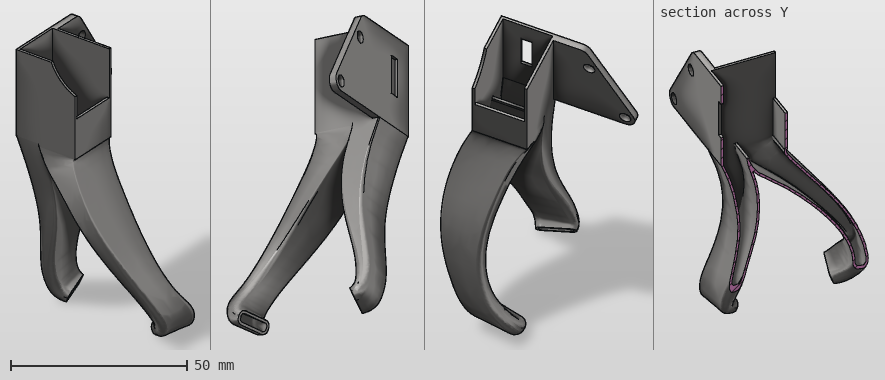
import cadquery as cq
import math


BOX_X = 21.0
BOX_Y = 17.0
BOX_Z = 28.0
WALL = 0.85
LOW_WALL_Z = 12.1
DIVIDER_X = 8.05

RELIEF_X = 8.5
RELIEF_Z = 8.4
RELIEF_MID = (16.4, 22.5)

PLATE_T = 2.2
HOLE_D = 3.5
LOWER_HOLE = (39.2, 3.05)
UPPER_HOLE = (28.1, 20.5)
PLATE_R = 3.0

SLOT_Y = 6.35
SLOT_Z = 9.8
SLOT_WIDTH = 3.45
SLOT_HEIGHT = 11.7

LEFT_ROOT_T = DIVIDER_X + WALL
RIGHT_ROOT_T = BOX_X - DIVIDER_X
LEFT_ROOT_X = LEFT_ROOT_T / 2
RIGHT_ROOT_X = BOX_X - RIGHT_ROOT_T / 2
RIGHT_NECK = 0.9
ROOT_R = 0.3
MIN_INNER_R = 0.15

LEFT_STATIONS = [
    ((LEFT_ROOT_X, BOX_Y, 0), (LEFT_ROOT_X, 0, 0), LEFT_ROOT_T, ROOT_R, 0),
    ((6.3, 17.2, -6), (6.3, 0.4, -6), 7.8, 0.4, 18),
    ((8.4, 17.8, -17), (8.6, 1.6, -17), 7.5, 0.7, 3),
    ((7.1, 19.2, -30), (8.1, 3.8, -30), 5.8, 1.1, -12),
    ((4.1, 21.2, -41), (5.4, 6.7, -41), 4.7, 1.5, -13),
    ((2.3, 23.2, -48.5), (4.2, 9.2, -48.5), 4.6, 1.8, -3),
    ((2.2, 24.8, -53.5), (4.5, 11.6, -53.7), 4.5, 1.9, 32),
    ((4.5, 25.2, -55.8), (7.8, 13.9, -56.6), 4.3, 1.9, 66),
]

RIGHT_STATIONS = [
    ((RIGHT_ROOT_X, BOX_Y, -RIGHT_NECK), (RIGHT_ROOT_X, 0, -RIGHT_NECK), RIGHT_ROOT_T, ROOT_R, 0),
    ((17.0, 16.0, -5.4), (16.9, -0.9, -5.5), 10.1, 0.4, 29),
    ((22.3, 13.5, -10.7), (21.9, -2.7, -11.0), 8.0, 0.4, 42),
    ((30.1, 11.4, -19.7), (29.5, -3.9, -20.3), 6.4, 0.7, 40),
    ((38.2, 11.1, -31.0), (37.2, -1.9, -30.7), 5.4, 1.1, 33),
    ((43.3, 14.5, -40.8), (41.8, 2.2, -39.9), 4.8, 1.5, 22),
    ((45.2, 20.5, -48.3), (43.8, 7.0, -48.4), 5.0, 1.8, 2),
    ((44.2, 24.2, -53.5), (41.9, 10.8, -53.7), 4.9, 1.9, -32),
    ((41.1, 25.2, -55.8), (37.8, 13.9, -56.6), 4.3, 1.9, -66),
]


def block(x0, y0, z0, x1, y1, z1):
    """Axis-aligned block between two opposite corners."""
    return cq.Workplane("XY").box(x1 - x0, y1 - y0, z1 - z0, centered=False).translate((x0, y0, z0))


def make_box():
    """Open tube with three tall walls and a low right wall."""
    box = block(0, 0, 0, BOX_X, BOX_Y, BOX_Z)
    box = box.cut(block(WALL, WALL, 0, BOX_X - WALL, BOX_Y - WALL, BOX_Z))
    right_opening = block(BOX_X - WALL, WALL, LOW_WALL_Z, BOX_X, BOX_Y - WALL, BOX_Z)
    return box.cut(right_opening)


def make_right_neck(inset):
    """Straight block from the right duct up to the box, shrunk sideways by the inset."""
    return block(DIVIDER_X + inset, inset, -RIGHT_NECK, BOX_X - inset, BOX_Y - inset, 0)


def make_relief():
    """Cutter for the rounded corner of the front wall."""
    return (
        cq.Workplane("XZ")
        .moveTo(BOX_X - RELIEF_X, BOX_Z)
        .threePointArc(RELIEF_MID, (BOX_X, BOX_Z - RELIEF_Z))
        .lineTo(BOX_X, BOX_Z)
        .close()
        .extrude(-WALL)
    )


def make_plate():
    """Side plate whose slanted edge runs parallel to the line of the two holes."""
    run = UPPER_HOLE[0] - LOWER_HOLE[0]
    rise = UPPER_HOLE[1] - LOWER_HOLE[1]
    slope = run / rise
    edge_offset = PLATE_R * (1 + slope**2) ** 0.5
    bottom_y = LOWER_HOLE[0] - slope * LOWER_HOLE[1] + edge_offset
    top_y = bottom_y + slope * BOX_Z
    front_y = BOX_Y - WALL
    plate = (
        cq.Workplane("YZ")
        .polyline([(front_y, 0), (bottom_y, 0), (top_y, BOX_Z), (front_y, BOX_Z)])
        .close()
        .extrude(PLATE_T)
        .edges("|X and (not <Y)")
        .fillet(PLATE_R)
    )
    holes = cq.Workplane("YZ").pushPoints([LOWER_HOLE, UPPER_HOLE]).circle(HOLE_D / 2).extrude(PLATE_T)
    return plate.cut(holes)


def station_wire(station, inset):
    """Outline of one duct section, shrunk by the inset on every side."""
    back, front, thickness, radius, tilt = station
    width_vector = cq.Vector(*front) - cq.Vector(*back)
    center = (cq.Vector(*back) + cq.Vector(*front)) / 2
    tilt_angle = math.radians(tilt)
    thickness_vector = cq.Vector(math.cos(tilt_angle), 0, math.sin(tilt_angle))
    plane = cq.Plane(origin=center, xDir=width_vector, normal=thickness_vector.cross(width_vector))
    outline = (
        cq.Sketch()
        .rect(width_vector.Length - 2 * inset, thickness - 2 * inset)
        .vertices()
        .fillet(max(radius - inset, MIN_INNER_R))
        .reset()
    )
    return outline.faces().val().outerWire().moved(plane.location)


def duct(stations, inset):
    """Solid lofted smoothly through the stations."""
    wires = [station_wire(station, inset) for station in stations]
    return cq.Workplane(cq.occ_impl.shapes.loft(wires, cap=True, parametrization="chordal"))


def make_slot():
    """Cutter for the clip slot in the left wall."""
    return block(0, SLOT_Y, SLOT_Z, WALL, SLOT_Y + SLOT_WIDTH, SLOT_Z + SLOT_HEIGHT)


result = make_box().union(make_plate()).cut(make_relief()).cut(make_slot())
result = result.union(make_right_neck(0))
for duct_stations in (LEFT_STATIONS, RIGHT_STATIONS):
    result = result.union(duct(duct_stations, 0))
for duct_stations in (LEFT_STATIONS, RIGHT_STATIONS):
    result = result.cut(duct(duct_stations, WALL))
result = result.cut(make_right_neck(WALL))